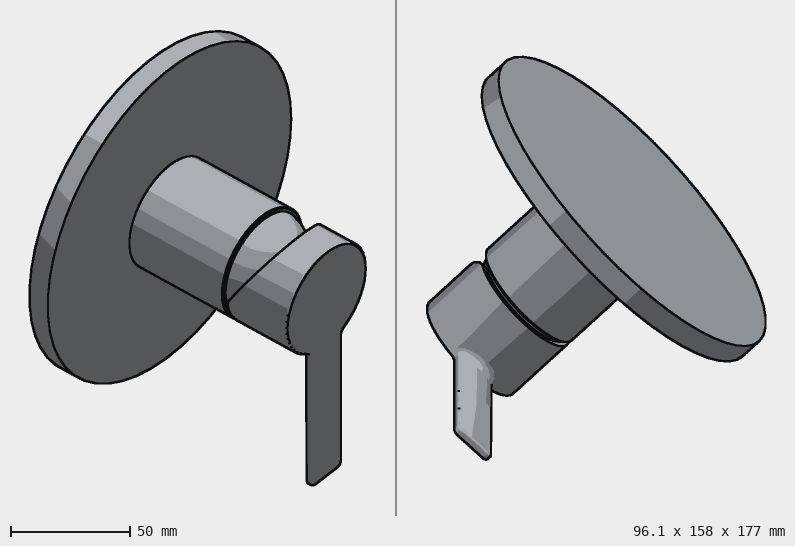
import cadquery as cq

overall_height = 177.0
plate_diameter = 158.0
plate_thickness = 10.1

body_diameter = 52.0
body_end_x = 61.2
body_edge_chamfer = 0.5
ball_radius = 24.8
ball_centre_x = 55.8

head_diameter = body_diameter
head_back_x = 63.4
head_face_x = 96.1
head_top_start_x = 81.0
slant_foot_z = -3.5
slant_blend_radius = 10.6
front_edge_radius = 0.7

lever_width = 19.6
lever_end_z = plate_diameter / 2 - overall_height
lever_corner_radius = 2.7
lever_edge_thickness = 3.0
lever_edge_radius = 0.9
lever_root_thickness = 5.5
lever_middle_thickness = 5.0
lever_tip_thickness = 3.5
lever_middle_z = -70.8
lever_root_radius = 3.5

cut_overshoot = 1.8
selection_margin = 0.2

head_radius = head_diameter / 2


def make_plate():
    """Round wall plate."""
    return cq.Workplane("YZ").circle(plate_diameter / 2).extrude(plate_thickness)


def make_ball():
    """Ball on the shared axis, turned about X."""
    return (
        cq.Workplane("XY")
        .moveTo(ball_centre_x - ball_radius, 0)
        .threePointArc((ball_centre_x, ball_radius), (ball_centre_x + ball_radius, 0))
        .close()
        .revolve(360, (0, 0, 0), (1, 0, 0))
    )


def make_body():
    """Cylindrical body ending in the ball that carries the handle."""
    cylinder = (
        cq.Workplane("YZ", origin=(plate_thickness, 0, 0))
        .circle(body_diameter / 2)
        .extrude(body_end_x - plate_thickness)
        .faces(">X")
        .chamfer(body_edge_chamfer)
    )
    return cylinder.union(make_ball())


def lever_section(height, back_thickness):
    """Closed lever section at one height: flat front, arched back."""
    half_width = lever_width / 2
    edge_x = head_face_x - lever_edge_thickness
    section = (
        cq.Workplane("XY", origin=(0, 0, height))
        .moveTo(head_face_x, -half_width)
        .lineTo(head_face_x, half_width)
        .lineTo(edge_x, half_width)
        .threePointArc((head_face_x - back_thickness, 0), (edge_x, -half_width))
        .close()
    )
    return section.val()


def make_lever():
    """Flat lever that starts on the head axis and thins towards its rounded tip."""
    sections = [
        lever_section(0, lever_root_thickness),
        lever_section(lever_middle_z, lever_middle_thickness),
        lever_section(lever_end_z, lever_tip_thickness),
    ]
    blade = cq.Workplane(cq.Solid.makeLoft(sections))
    outline = (
        cq.Workplane("YZ", origin=(head_face_x - head_radius, 0, lever_end_z / 2))
        .rect(lever_width, -lever_end_z)
        .extrude(head_diameter)
        .edges("|X and <Z")
        .fillet(lever_corner_radius)
    )
    back_edges = cq.selectors.BoxSelector(
        (head_face_x - lever_root_thickness, -lever_width, lever_end_z - selection_margin),
        (head_face_x - lever_edge_thickness + selection_margin, lever_width, -selection_margin),
    )
    return blade.intersect(outline).edges(back_edges).fillet(lever_edge_radius)


def make_head():
    """Cylindrical handle head, before its back is cut."""
    return (
        cq.Workplane("YZ", origin=(head_back_x, 0, 0))
        .circle(head_radius)
        .extrude(head_face_x - head_back_x)
    )


def make_slant_cutter():
    """Wedge above the slanted back of the head, tangent to the upright lower part."""
    slope = (head_top_start_x - head_back_x) / (head_radius - slant_foot_z)
    top_z = head_radius + cut_overshoot
    wedge = (
        cq.Workplane("XZ")
        .moveTo(head_back_x, -head_radius - cut_overshoot)
        .lineTo(head_back_x, slant_foot_z)
        .lineTo(head_top_start_x + slope * cut_overshoot, top_z)
        .lineTo(head_back_x - cut_overshoot, top_z)
        .lineTo(head_back_x - cut_overshoot, -head_radius - cut_overshoot)
        .close()
        .extrude(head_diameter, both=True)
    )
    foot = cq.selectors.NearestToPointSelector((head_back_x, 0, slant_foot_z))
    return wedge.edges("|Y").edges(foot).fillet(slant_blend_radius)


def make_handle():
    """Head and lever in one piece, with a recess that fits the ball."""
    handle = make_head().union(make_lever())
    root_edges = cq.selectors.BoxSelector(
        (head_back_x + selection_margin, -lever_width, -head_radius),
        (head_face_x - selection_margin, lever_width, -head_radius + lever_root_radius),
    )
    handle = handle.edges(root_edges).fillet(lever_root_radius)
    handle = handle.faces(">X").edges().fillet(front_edge_radius)
    return handle.cut(make_slant_cutter()).cut(make_ball())


plate = make_plate()
body = make_body()
handle = make_handle()

result = cq.Compound.makeCompound([plate.val(), body.val(), handle.val()])